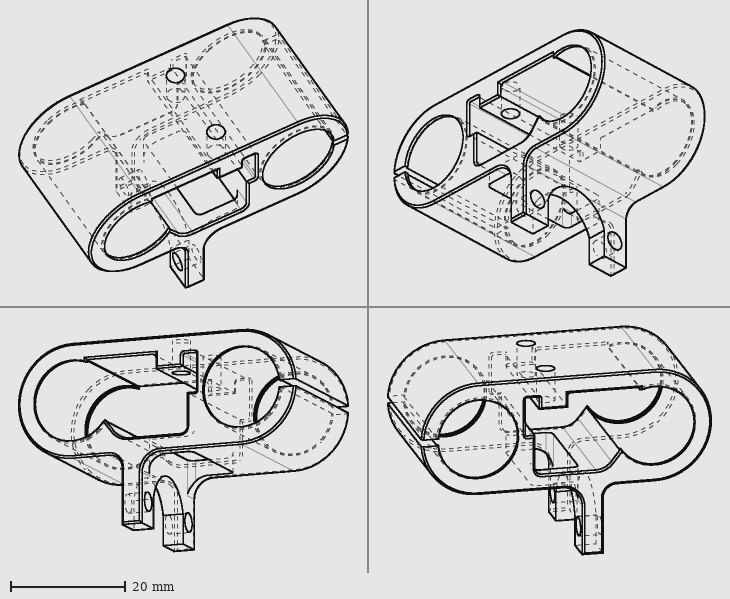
import cadquery as cq
import math

width = 25.4
length = 52.4
height = 33.15
edge_chamfer = 0.35

body_radius = 10.25
lip_radius = 7.25
seat_radius = 7.5
lip_width = 0.7
clamp_gap = 1.25

clamped_end_reach = math.sqrt(body_radius**2 - (clamp_gap / 2) ** 2)
bore_y = (length - body_radius - clamped_end_reach) / 2

upper_wall_y = 7.45
lower_wall_y = 5.65
ledge_z = -0.2
floor_z = -7.45
roof_z = 7.2
niche_roof_z = 6.85
roof_end_y = -13.3
tab_left_y = 4.85
tab_right_y = -0.25
tab_bottom_z = 4.55
ramp_start_y = -5.35
ramp_radius = 3.55
ramp_angle = 52.0
ramp_length = 2.9
niche_corner_radius = 0.3
floor_corner_radius = 1.2
tab_root_radius = 0.75

window_half_width = 9.95
window_corner_radius = 1.1

leg_left_y = -2.9
leg_right_y = -6.65
leg_bottom_z = body_radius - height
leg_left_fillet = 3.55
leg_right_fillet = 2.4
arch_top_z = -12.2
arch_radius = 7.25
arch_half_width = 6.95

leg_hole_x = 9.55
leg_hole_z = -18.55
leg_hole_diameter = 3.4
roof_hole_x = 7.2
roof_hole_diameter = 3.2
roof_hole_y = 2.45


def along_x(start_x):
    """Sketch plane with local axes Y and Z, extruding toward +X."""
    return cq.Workplane("YZ", origin=(start_x, 0, 0))


def make_body():
    """Racetrack and leg in one profile, chamfered around both end faces."""
    bottom_z = -body_radius
    profile = (
        along_x(-width / 2)
        .moveTo(-bore_y, body_radius)
        .lineTo(bore_y, body_radius)
        .threePointArc((bore_y + body_radius, 0), (bore_y, bottom_z))
        .lineTo(leg_left_y + leg_left_fillet, bottom_z)
        .tangentArcPoint((leg_left_y, bottom_z - leg_left_fillet), relative=False)
        .lineTo(leg_left_y, leg_bottom_z)
        .lineTo(leg_right_y, leg_bottom_z)
        .lineTo(leg_right_y, bottom_z - leg_right_fillet)
        .tangentArcPoint((leg_right_y - leg_right_fillet, bottom_z), relative=False)
        .lineTo(-bore_y, bottom_z)
        .threePointArc((-bore_y - body_radius, 0), (-bore_y, body_radius))
        .close()
    )
    return profile.extrude(width).faces("<X or >X").chamfer(edge_chamfer)


def make_pocket():
    """Stepped opening between the bores, running on into the -Y bore."""
    angle = math.radians(ramp_angle)
    arc_end_y = ramp_start_y - ramp_radius * math.sin(angle)
    arc_end_z = floor_z + ramp_radius * (1 - math.cos(angle))
    ramp_end_y = arc_end_y - ramp_length * math.cos(angle)
    ramp_end_z = arc_end_z + ramp_length * math.sin(angle)
    pocket = (
        along_x(-width / 2)
        .moveTo(roof_end_y, roof_z)
        .lineTo(tab_right_y, roof_z)
        .lineTo(tab_right_y, tab_bottom_z)
        .lineTo(tab_left_y, tab_bottom_z)
        .lineTo(tab_left_y, niche_roof_z)
        .lineTo(upper_wall_y, niche_roof_z)
        .lineTo(upper_wall_y, ledge_z)
        .lineTo(lower_wall_y, ledge_z)
        .lineTo(lower_wall_y, floor_z)
        .lineTo(ramp_start_y, floor_z)
        .tangentArcPoint((arc_end_y, arc_end_z), relative=False)
        .lineTo(ramp_end_y, ramp_end_z)
        .lineTo(roof_end_y, 0)
        .close()
        .extrude(width)
    )
    for corner_y, corner_z, radius in (
        (tab_left_y, niche_roof_z, niche_corner_radius),
        (upper_wall_y, niche_roof_z, niche_corner_radius),
        (upper_wall_y, ledge_z, niche_corner_radius),
        (lower_wall_y, floor_z, floor_corner_radius),
    ):
        corner = cq.selectors.NearestToPointSelector((0, corner_y, corner_z))
        pocket = pocket.edges("|X").edges(corner).fillet(radius)
    return pocket


def cut_pocket(body):
    """Cut the pocket, flare its rims and round the inner corner beside the tab."""
    pocketed = body.cut(make_pocket())
    for side in ("<X", ">X"):
        (rim,) = pocketed.faces(side).val().innerWires()
        pocketed = pocketed.newObject(rim.Edges()).chamfer(edge_chamfer)
    tab_root = cq.selectors.NearestToPointSelector((0, tab_right_y, roof_z))
    pocketed = pocketed.edges("|X").edges(tab_root).fillet(tab_root_radius)
    return pocketed


def make_bore(center_y):
    """Bearing seat with a narrower lip at each end."""
    seat_length = width - 2 * lip_width
    lips = along_x(-width / 2).center(center_y, 0).circle(lip_radius).extrude(width)
    seat = along_x(-seat_length / 2).center(center_y, 0).circle(seat_radius).extrude(seat_length)
    return lips.union(seat)


def make_clamp_slot():
    """Gap that opens the +Y bore to the outside."""
    return cq.Workplane().box(width, body_radius, clamp_gap).translate((0, bore_y + body_radius / 2, 0))


def make_window():
    """Rounded opening through the pocket floor, reaching from the wall to the leg."""
    window_length = lower_wall_y - leg_left_y
    bottom_z = -body_radius - leg_left_fillet
    return (
        cq.Workplane(origin=(0, leg_left_y + window_length / 2, bottom_z))
        .rect(2 * window_half_width, window_length)
        .extrude(floor_z + floor_corner_radius - bottom_z)
        .edges("|Z")
        .fillet(window_corner_radius)
    )


def make_arch():
    """Round-topped notch through the leg, open at the bottom."""
    center_z = arch_top_z - arch_radius
    spring_z = center_z + math.sqrt(arch_radius**2 - arch_half_width**2)
    return (
        cq.Workplane("XZ", origin=(0, leg_left_y + leg_left_fillet, 0))
        .moveTo(-arch_half_width, leg_bottom_z)
        .lineTo(-arch_half_width, spring_z)
        .threePointArc((0, arch_top_z), (arch_half_width, spring_z))
        .lineTo(arch_half_width, leg_bottom_z)
        .close()
        .extrude(leg_left_y - leg_right_y + leg_left_fillet + leg_right_fillet)
    )


def make_leg_holes():
    """Pair of screw holes through the leg along Y."""
    return (
        cq.Workplane("XZ", origin=(0, leg_left_y, 0))
        .pushPoints([(-leg_hole_x, leg_hole_z), (leg_hole_x, leg_hole_z)])
        .circle(leg_hole_diameter / 2)
        .extrude(leg_left_y - leg_right_y)
    )


def make_roof_holes():
    """Pair of screw holes down through the roof and its tab."""
    return (
        cq.Workplane(origin=(0, 0, tab_bottom_z))
        .pushPoints([(-roof_hole_x, roof_hole_y), (roof_hole_x, roof_hole_y)])
        .circle(roof_hole_diameter / 2)
        .extrude(body_radius - tab_bottom_z)
    )


result = cut_pocket(make_body())
for center_y in (-bore_y, bore_y):
    result = result.cut(make_bore(center_y))
result = (
    result.cut(make_clamp_slot())
    .cut(make_window())
    .cut(make_arch())
    .cut(make_leg_holes())
    .cut(make_roof_holes())
)